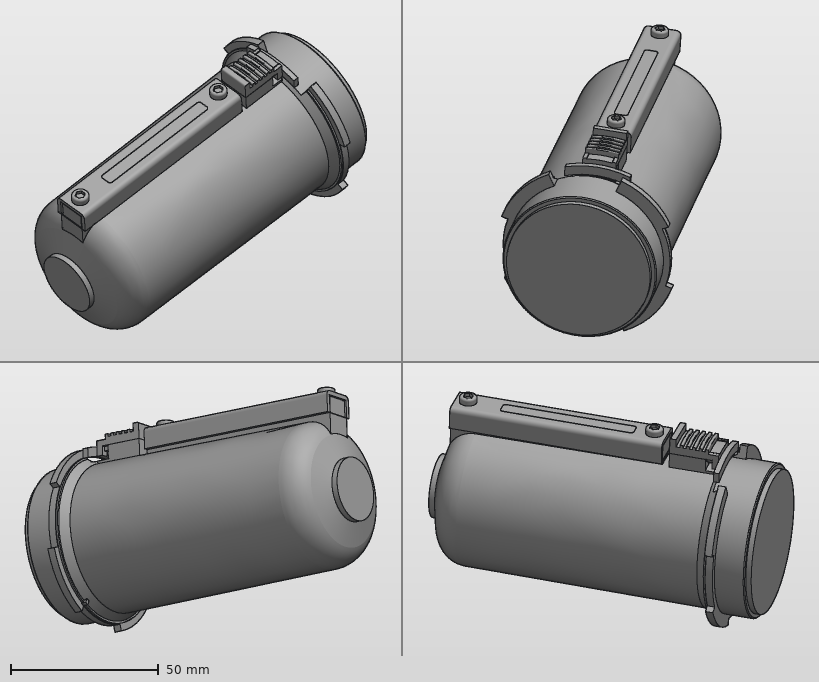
import cadquery as cq
import math

LATCH_TILT = 3.5
LATCH_OFFSET = 1.15

BOWL_LENGTH = 118.5
CAP_RADIUS = 22 / 2
CAP_HEIGHT = 2.1
CONE_END_Y = 4.9
CONE_END_RADIUS = 19.5
DOME_END_Y = 14.1
DOME_RADIUS = 25.4
DOME_MID_ANGLE = 33
DOME_CORNER = 10.0
BODY_RADIUS = 25.85
BODY_END_Y = 99.5
FLARE_RADIUS = 28.0
FLARE_END_Y = 102.65
FLARE_RIM_RADIUS = 28.75
FLANGE_RADIUS = 29.05
FLANGE_END_Y = 106.0
NECK_RADIUS = 53.5 / 2
NECK_END_Y = 116.6
NECK_CHAMFER = 0.4
LIP_RADIUS = 50 / 2

LUG_ANGLES = [(19.3, 65.1), (112.5, 155.1), (199.0, 245.6), (289.8, 335.5)]
LUG_RADIUS = 31.37
LUG_START_Y = 103.35
LUG_THICKNESS = FLANGE_END_Y - LUG_START_Y
STOP_ANGLE = 244.0
STOP_WIDTH = 1.4
STOP_START_Y = 101.6

LATCH_WIDTH = 11.6
LATCH_START_Y = 82.8
LATCH_END_Y = 100.15
RAIL_TOP = 30.75
RAIL_END_Y = 95.6
GRIP_FLOOR_RADIUS = 34.2
TOOTH_RADIUS = 35.1
TOOTH_COUNT = 5
TOOTH_PITCH = 2.245
TOOTH_THICKNESS = 1.15
TOOTH_TIP_ROUND = 0.2
FIRST_TOOTH_END_Y = 96.55
THUMB_STOP_TOP = 36.5
THUMB_STOP_THICKNESS = 2.3
THUMB_STOP_ROUND = 0.6
NOSE_RADIUS = 33.4
NOSE_RECESS_RADIUS = 33.0
NOSE_RECESS_WIDTH = 8.9
LEG_THICKNESS = 2.25
LEG_BOTTOM = 27.5
TONGUE_WIDTH = 6.0
TONGUE_BOTTOM = 27.95
TONGUE_SHOULDER_WIDTH = 9.0
TONGUE_SHOULDER_BOTTOM = 29.2
BOLT_WIDTH = 22.7
BOLT_THICKNESS = 2.0
BOLT_OUTER_RADIUS = 35.0
BOLT_INNER_RADIUS = 31.75
BOLT_CENTRE_DROP = 3.7

COVER_START_Y = 5.1
COVER_END_Y = 80.2
COVER_WIDTH = 13.0
COVER_TOP = 34.2
COVER_BOTTOM = 26.5
COVER_WALL = 1.5
COVER_ROUND = 1.8
RIB_BASE_WIDTH = COVER_WIDTH - 2 * COVER_WALL
RIB_TOP_WIDTH = 8.8
RIB_TOP_GAP = 0.3
RIB_TOP_SETBACK = 0.3
WINDOW_WIDTH = 4.7
WINDOW_START_Y = 21.6
WINDOW_END_Y = 68.8
WINDOW_ROUND = 1.0
WINDOW_DEPTH = 0.15
SCREW_POSITIONS = [9.7, 75.7]
SCREW_HEAD_DIAMETER = 6.0
SCREW_HEAD_HEIGHT = 2.3
SCREW_HEAD_ROUND = 0.8
SOCKET_WIDTH = 3.0
SOCKET_DEPTH = 1.2


def box(width, start_y, end_y, bottom, top):
    """Block centred on X = 0."""
    block = cq.Workplane("XY").box(width, end_y - start_y, top - bottom, centered=(True, False, False))
    return block.translate((0, start_y, bottom))


def crowned_block(width, start_y, end_y, bottom, radius):
    """Block centred on X = 0 whose top is a cylinder of the given radius about the Y axis."""
    half = width / 2
    edge_height = math.sqrt(radius**2 - half**2)
    return (
        cq.Workplane("XZ", origin=(0, start_y, 0))
        .moveTo(-half, bottom)
        .lineTo(-half, edge_height)
        .threePointArc((0, radius), (half, edge_height))
        .lineTo(half, bottom)
        .close()
        .extrude(start_y - end_y)
    )


def tilted(body):
    """Move a body built upright at X = 0 into the plane of the latch."""
    return body.translate((-LATCH_OFFSET, 0, 0)).rotate((0, 0, 0), (0, 1, 0), -LATCH_TILT)


def polar(radius, angle):
    """Point on a circle about the Y axis."""
    return (radius * math.cos(math.radians(angle)), radius * math.sin(math.radians(angle)))


def sector(radius, start_angle, end_angle, start_y, thickness):
    """Pie slice of a disc about the Y axis."""
    return (
        cq.Workplane("XZ", origin=(0, start_y, 0))
        .lineTo(*polar(radius, start_angle))
        .threePointArc(polar(radius, (start_angle + end_angle) / 2), polar(radius, end_angle))
        .close()
        .extrude(-thickness)
    )


def bowl_of_revolution():
    dome_centre_radius = DOME_RADIUS - DOME_CORNER
    dome_mid = (
        dome_centre_radius + DOME_CORNER * math.cos(math.radians(DOME_MID_ANGLE)),
        DOME_END_Y - DOME_CORNER * math.sin(math.radians(DOME_MID_ANGLE)),
    )
    return (
        cq.Workplane("XY")
        .lineTo(CAP_RADIUS, 0)
        .lineTo(CAP_RADIUS, CAP_HEIGHT)
        .lineTo(CONE_END_RADIUS, CONE_END_Y)
        .threePointArc(dome_mid, (DOME_RADIUS, DOME_END_Y))
        .lineTo(BODY_RADIUS, BODY_END_Y)
        .lineTo(FLARE_RADIUS, FLARE_END_Y)
        .lineTo(FLARE_RIM_RADIUS, FLARE_END_Y)
        .lineTo(FLARE_RIM_RADIUS, LUG_START_Y)
        .lineTo(FLANGE_RADIUS, LUG_START_Y)
        .lineTo(FLANGE_RADIUS, FLANGE_END_Y)
        .lineTo(NECK_RADIUS, FLANGE_END_Y)
        .lineTo(NECK_RADIUS, NECK_END_Y - NECK_CHAMFER)
        .lineTo(NECK_RADIUS - NECK_CHAMFER, NECK_END_Y)
        .lineTo(LIP_RADIUS, NECK_END_Y)
        .lineTo(LIP_RADIUS, BOWL_LENGTH)
        .lineTo(0, BOWL_LENGTH)
        .close()
        .revolve(360, (0, 0, 0), (0, 1, 0))
    )


def neck_cylinder():
    return cq.Workplane("XZ").circle(NECK_RADIUS).extrude(-BOWL_LENGTH)


def flange_notch():
    """Gap in the flange and flare for the latch bolt, between the two upper lugs."""
    slice_start = LUG_ANGLES[0][1]
    slice_end = LUG_ANGLES[1][0]
    notch = sector(LUG_RADIUS + 1, slice_start, slice_end, BODY_END_Y, FLANGE_END_Y - BODY_END_Y)
    return notch.cut(neck_cylinder())


def rotation_stop():
    """Small block under the flange beside the lower left lug."""
    block = box(STOP_WIDTH, STOP_START_Y, LUG_START_Y, FLANGE_RADIUS / 2, FLANGE_RADIUS)
    return block.rotate((0, 0, 0), (0, 1, 0), 90 - STOP_ANGLE)


def sight_rib():
    base = box(RIB_BASE_WIDTH, COVER_START_Y, COVER_END_Y, CONE_END_RADIUS / 2, COVER_BOTTOM)
    rib_top = COVER_TOP - COVER_WALL - RIB_TOP_GAP
    upper_start = COVER_START_Y + RIB_TOP_SETBACK
    upper_end = COVER_END_Y - RIB_TOP_SETBACK
    upper = box(RIB_TOP_WIDTH, upper_start, upper_end, COVER_BOTTOM, rib_top)
    return tilted(base.union(upper))


def latch_rail():
    """Block that carries the latch, with a low sill ahead of it that follows the neck radius."""
    rail = box(LATCH_WIDTH, LATCH_START_Y, RAIL_END_Y, BODY_RADIUS / 2, RAIL_TOP)
    sill = box(LATCH_WIDTH, LATCH_START_Y, LATCH_END_Y, BODY_RADIUS / 2, RAIL_TOP)
    return tilted(rail).union(tilted(sill).intersect(neck_cylinder()))


def make_bowl():
    bowl = bowl_of_revolution().cut(flange_notch())
    for start_angle, end_angle in LUG_ANGLES:
        bowl = bowl.union(sector(LUG_RADIUS, start_angle, end_angle, LUG_START_Y, LUG_THICKNESS))
    return bowl.union(rotation_stop()).union(sight_rib()).union(latch_rail())


def latch_bolt():
    """Curved locking plate, narrowed to straight ends."""
    start_y = LATCH_END_Y
    ring = (
        cq.Workplane("XZ", origin=(0, start_y, 0))
        .center(0, -BOLT_CENTRE_DROP)
        .circle(BOLT_OUTER_RADIUS)
        .circle(BOLT_INNER_RADIUS)
        .extrude(-BOLT_THICKNESS)
    )
    return ring.intersect(box(BOLT_WIDTH, start_y, start_y + BOLT_THICKNESS, 0, BOLT_OUTER_RADIUS))


def make_latch():
    latch = crowned_block(LATCH_WIDTH, LATCH_START_Y, LATCH_END_Y, RAIL_TOP, NOSE_RADIUS)
    latch = latch.union(
        crowned_block(LATCH_WIDTH, LATCH_START_Y, FIRST_TOOTH_END_Y, RAIL_TOP, GRIP_FLOOR_RADIUS)
    )
    for index in range(TOOTH_COUNT):
        tooth_end = FIRST_TOOTH_END_Y - index * TOOTH_PITCH
        tooth_start = tooth_end - TOOTH_THICKNESS
        tooth = crowned_block(LATCH_WIDTH, tooth_start, tooth_end, RAIL_TOP, TOOTH_RADIUS)
        latch = latch.union(tooth.edges("%CIRCLE").fillet(TOOTH_TIP_ROUND))

    thumb_stop_end = LATCH_START_Y + THUMB_STOP_THICKNESS
    thumb_stop = box(LATCH_WIDTH, LATCH_START_Y, thumb_stop_end, RAIL_TOP, THUMB_STOP_TOP)
    latch = latch.union(thumb_stop.edges(">Z and <Y").fillet(THUMB_STOP_ROUND))

    recess = box(NOSE_RECESS_WIDTH, FIRST_TOOTH_END_Y, LATCH_END_Y, RAIL_TOP, TOOTH_RADIUS)
    recess_floor = crowned_block(
        NOSE_RECESS_WIDTH, FIRST_TOOTH_END_Y, LATCH_END_Y, RAIL_TOP, NOSE_RECESS_RADIUS
    )
    latch = latch.cut(recess.cut(recess_floor))

    leg_start = LATCH_END_Y - LEG_THICKNESS
    latch = latch.union(box(LATCH_WIDTH, leg_start, LATCH_END_Y, LEG_BOTTOM, RAIL_TOP))
    latch = latch.union(box(TONGUE_WIDTH, RAIL_END_Y, leg_start, TONGUE_BOTTOM, RAIL_TOP))
    latch = latch.union(
        box(TONGUE_SHOULDER_WIDTH, RAIL_END_Y, leg_start, TONGUE_SHOULDER_BOTTOM, RAIL_TOP)
    )
    return tilted(latch.union(latch_bolt()))


def screw_head(y):
    return (
        cq.Workplane("XY", origin=(0, y, COVER_TOP))
        .circle(SCREW_HEAD_DIAMETER / 2)
        .extrude(SCREW_HEAD_HEIGHT)
        .faces(">Z")
        .edges()
        .fillet(SCREW_HEAD_ROUND)
        .faces(">Z")
        .workplane()
        .polygon(6, SOCKET_WIDTH / math.cos(math.radians(30)))
        .cutBlind(-SOCKET_DEPTH)
    )


def make_cover():
    cover = box(COVER_WIDTH, COVER_START_Y, COVER_END_Y, COVER_BOTTOM, COVER_TOP)
    cover = cover.edges("|Y and >Z").fillet(COVER_ROUND)
    cover = cover.cut(
        box(RIB_BASE_WIDTH, COVER_START_Y, COVER_END_Y, COVER_BOTTOM, COVER_TOP - COVER_WALL)
    )
    window = box(WINDOW_WIDTH, WINDOW_START_Y, WINDOW_END_Y, COVER_TOP - WINDOW_DEPTH, COVER_TOP)
    cover = cover.cut(window.edges("|Z").fillet(WINDOW_ROUND))
    for y in SCREW_POSITIONS:
        cover = cover.union(screw_head(y))
    return tilted(cover)


bowl = make_bowl()
latch = make_latch()
cover = make_cover()
result = cq.Compound.makeCompound([bowl.val(), latch.val(), cover.val()])